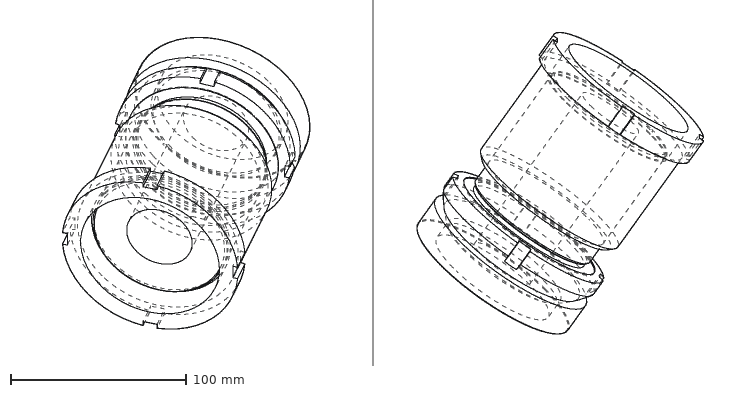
import cadquery as cq
import math

OUTER_RADIUS = 52.5
THREAD_RADIUS = 40.0

BEVEL_RADIUS = 48.0
BEVEL_HEIGHT = 1.1

FLANGE_LENGTH = 15.1
SLEEVE_RADIUS = BEVEL_RADIUS
SLEEVE_LENGTH = 82.0
SLEEVE_CHAMFER = 3.2
MOUTH_RADIUS = 41.5
MOUTH_LENGTH = 21.0

SPINDLE_START = 17.9
BORE_RADIUS = 19.5
NECK_RADIUS = 38.5
SHANK_END = 96.5
SHANK_CHAMFER = 1.1
SHANK_END_RADIUS = 39.2
NECK_START = 96.9
DISC_START = 98.7
DISC_RECESS_RADIUS = 45.6
DISC_RECESS_DEPTH = 0.7
SPHERE_CENTER = 76.8
SPHERE_RADIUS = 61.7
SEAT_END = 125.6
SPINDLE_TURN = 3.3

SLOT_COUNT = 4
SLOT_WIDTH = 8.4
SLOT_DEPTH = 3.1

CAP_START = 117.0
CAP_LENGTH = 19.5
CAP_BORE_RADIUS = 39.1
CAP_CHAMFER = 0.4
TILT_UP = 3.5
TILT_SIDE = 0.6


def turned(points):
    """Revolve a closed (radius, Y) outline about the Y axis."""
    return cq.Workplane("XY").polyline(points).close().revolve(360, (0, 0), (0, 1))


def seat_height(radius):
    """Y position of the spherical seat at a given radius."""
    return SPHERE_CENTER + math.sqrt(SPHERE_RADIUS**2 - radius**2)


def cut_spanner_slots(body, start, end, turn=0.0):
    """Cut the evenly spaced rim slots from Y = start to Y = end."""
    slot = cq.Workplane("XY").box(
        SLOT_WIDTH, end - start, 2 * SLOT_DEPTH
    ).translate((0, (start + end) / 2, OUTER_RADIUS))
    for index in range(SLOT_COUNT):
        angle = turn + index * 360 / SLOT_COUNT
        body = body.cut(slot.rotate((0, 0, 0), (0, 1, 0), angle))
    return body


def make_housing():
    body = turned([
        (MOUTH_RADIUS, 0),
        (OUTER_RADIUS, 0),
        (OUTER_RADIUS, FLANGE_LENGTH - BEVEL_HEIGHT),
        (SLEEVE_RADIUS, FLANGE_LENGTH),
        (SLEEVE_RADIUS, SLEEVE_LENGTH - SLEEVE_CHAMFER),
        (SLEEVE_RADIUS - SLEEVE_CHAMFER, SLEEVE_LENGTH),
        (THREAD_RADIUS, SLEEVE_LENGTH),
        (THREAD_RADIUS, MOUTH_LENGTH),
        (MOUTH_RADIUS, MOUTH_LENGTH),
    ])
    return cut_spanner_slots(body, 0, FLANGE_LENGTH)


def make_spindle():
    seat_end_radius = math.sqrt(SPHERE_RADIUS**2 - (SEAT_END - SPHERE_CENTER) ** 2)
    seat_mid_radius = (seat_end_radius + OUTER_RADIUS) / 2
    body = (
        cq.Workplane("XY")
        .moveTo(BORE_RADIUS, SPINDLE_START)
        .lineTo(THREAD_RADIUS - SHANK_CHAMFER, SPINDLE_START)
        .lineTo(THREAD_RADIUS, SPINDLE_START + SHANK_CHAMFER)
        .lineTo(THREAD_RADIUS, SHANK_END - SHANK_CHAMFER)
        .lineTo(SHANK_END_RADIUS, SHANK_END)
        .lineTo(NECK_RADIUS, NECK_START)
        .lineTo(NECK_RADIUS, DISC_START + DISC_RECESS_DEPTH)
        .lineTo(DISC_RECESS_RADIUS, DISC_START + DISC_RECESS_DEPTH)
        .lineTo(DISC_RECESS_RADIUS, DISC_START)
        .lineTo(BEVEL_RADIUS, DISC_START)
        .lineTo(OUTER_RADIUS, DISC_START + BEVEL_HEIGHT)
        .lineTo(OUTER_RADIUS, seat_height(OUTER_RADIUS))
        .threePointArc((seat_mid_radius, seat_height(seat_mid_radius)), (seat_end_radius, SEAT_END))
        .lineTo(BORE_RADIUS, SEAT_END)
        .close()
        .revolve(360, (0, 0), (0, 1))
    )
    return cut_spanner_slots(body, DISC_START, SEAT_END, SPINDLE_TURN)


def make_cap():
    end = CAP_START + CAP_LENGTH
    body = turned([
        (CAP_BORE_RADIUS, CAP_START),
        (BEVEL_RADIUS, CAP_START),
        (OUTER_RADIUS, CAP_START + BEVEL_HEIGHT),
        (OUTER_RADIUS, end - CAP_CHAMFER),
        (OUTER_RADIUS - CAP_CHAMFER, end),
        (CAP_BORE_RADIUS, end),
    ])
    center = (0, SPHERE_CENTER, 0)
    body = body.cut(cq.Workplane("XY").sphere(SPHERE_RADIUS).translate(center))
    body = body.rotate(center, (1, SPHERE_CENTER, 0), TILT_UP)
    return body.rotate(center, (0, SPHERE_CENTER, 1), -TILT_SIDE)


housing = make_housing()
spindle = make_spindle()
cap = make_cap()

result = cq.Compound.makeCompound([housing.val(), spindle.val(), cap.val()])